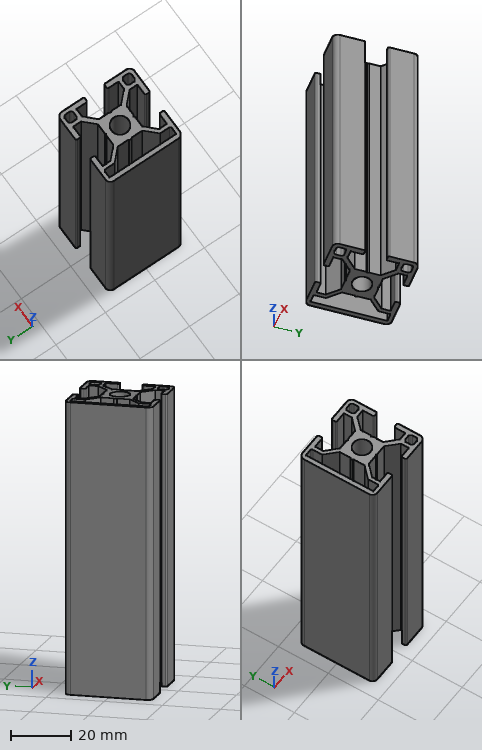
import cadquery as cq

WIDTH = 30.0
LENGTH = 100.0
CORNER_RADIUS = 2.0
HALF = WIDTH / 2

CORE_HALF = 5.8
BORE_DIAMETER = 6.8

SLOT_MOUTH_HALF = 4.0
SLOT_INNER_HALF = 8.5
SLOT_FLOOR_HALF = 4.5
LIP_THICKNESS = 2.0
LIP_RADIUS = 0.5
GROOVE_HALF_WIDTH = 0.5
GROOVE_DEPTH = 0.3

TUBE_SIZE = 3.5
TUBE_WALL = 1.5
TUBE_RADIUS = 1.0

PLAIN_WALL = 1.8
CHAMBER_HALF_LENGTH = HALF - TUBE_WALL
CHAMBER_END_DEPTH = TUBE_WALL + TUBE_SIZE
CHAMBER_FLOOR_HALF = 5.0
CHAMBER_RADIUS = 0.5
RIDGE_BASE_HALF = 0.6
RIDGE_TOP_HALF = 0.5
RIDGE_HEIGHT = 0.3


def symmetric_prism(upper_half):
    """Full-length prism whose outline is the given +Y half mirrored across the X axis."""
    lower_half = [(x, -y) for x, y in reversed(upper_half) if y > 0]
    return cq.Workplane("XY").polyline(upper_half + lower_half).close().extrude(LENGTH)


def fillet_edge_at(body, x, y, radius):
    """Round the lengthwise edge that passes through (x, y)."""
    edge = cq.selectors.NearestToPointSelector((x, y, LENGTH / 2))
    return body.edges(edge).fillet(radius)


def outer_block():
    block = cq.Workplane("XY").rect(WIDTH, WIDTH).extrude(LENGTH)
    return block.edges("|Z").fillet(CORNER_RADIUS)


def slot(angle):
    """T-slot cutter opening toward +X, turned about Z by the given angle."""
    lip_inside = HALF - LIP_THICKNESS
    slope_end = CORE_HALF + SLOT_INNER_HALF - SLOT_FLOOR_HALF
    upper_half = [
        (CORE_HALF - GROOVE_DEPTH, 0),
        (CORE_HALF, GROOVE_HALF_WIDTH),
        (CORE_HALF, SLOT_FLOOR_HALF),
        (slope_end, SLOT_INNER_HALF),
        (lip_inside, SLOT_INNER_HALF),
        (lip_inside, SLOT_MOUTH_HALF),
        (HALF, SLOT_MOUTH_HALF),
    ]
    return symmetric_prism(upper_half).rotate((0, 0, 0), (0, 0, 1), angle)


def round_lips(body):
    """Round the outer and inner edges of every slot lip."""
    for depth in (HALF, HALF - LIP_THICKNESS):
        for side in (-SLOT_MOUTH_HALF, SLOT_MOUTH_HALF):
            for x, y in ((depth, side), (side, depth), (side, -depth)):
                body = fillet_edge_at(body, x, y, LIP_RADIUS)
    return body


def chamber():
    """Cutter for the closed chamber; the core-side corners of its straight ends are rounded."""
    end_x = -HALF + CHAMBER_END_DEPTH
    wall_inside = -HALF + PLAIN_WALL
    slope_run = -CORE_HALF - end_x
    upper_half = [
        (-CORE_HALF - RIDGE_HEIGHT, RIDGE_TOP_HALF),
        (-CORE_HALF, RIDGE_BASE_HALF),
        (-CORE_HALF, CHAMBER_FLOOR_HALF),
        (end_x, CHAMBER_FLOOR_HALF + slope_run),
        (end_x, CHAMBER_HALF_LENGTH),
        (wall_inside, CHAMBER_HALF_LENGTH),
    ]
    cutter = symmetric_prism(upper_half)
    for y in (-CHAMBER_HALF_LENGTH, CHAMBER_HALF_LENGTH):
        cutter = fillet_edge_at(cutter, end_x, y, CHAMBER_RADIUS)
    return cutter


def corner_tubes():
    center = HALF - TUBE_WALL - TUBE_SIZE / 2
    tubes = cq.Workplane("XY").pushPoints([(center, -center), (center, center)])
    tubes = tubes.rect(TUBE_SIZE, TUBE_SIZE).extrude(LENGTH)
    return tubes.edges("|Z").fillet(TUBE_RADIUS)


profile = outer_block()
for slot_angle in (0, 90, -90):
    profile = profile.cut(slot(slot_angle))
profile = round_lips(profile)

bore = cq.Workplane("XY").circle(BORE_DIAMETER / 2).extrude(LENGTH)
result = profile.cut(chamber()).cut(corner_tubes()).cut(bore)